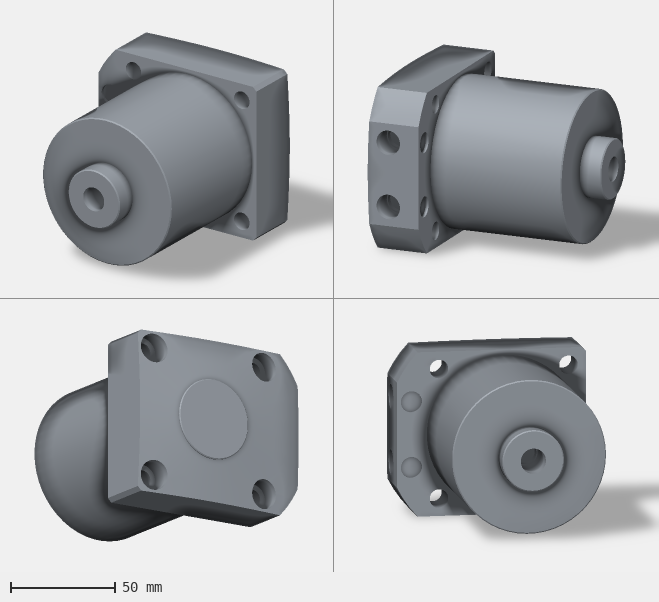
import cadquery as cq
import math

length = 111.0
width = 92.0
height = 80.0
half_height = height / 2
side_reach = width - half_height
corner_radius = 57.9
corner_chamfer = 2.0

nose_diameter = 30.0
nose_length = 11.0
nose_thread_depth = 22.2
nose_hole_depth = 26.6
body_diameter = 74.9
flange_front = 79.1
edge_chamfer = 0.5

disc_radius = 19.8
disc_height = 1.0
disc_chamfer = 0.4
cone_angle = 7.7
envelope_margin = 1.1

thread_diameter = 12.2
drill_diameter = 11.0
bolt_offset = 31.5
bolt_diameter = 9.0
counterbore_diameter = 14.4
counterbore_floor = 96.6
port_offset = 16.0
side_thread_depth = 12.2
side_port_depth = 15.0
side_port_y = 94.9
face_port_x = -45.0
face_port_diameter = 10.2
face_port_depth = 1.5


def cylinder_y(diameter, start, end, x=0, z=0):
    """Cylinder parallel to Y between two Y positions."""
    profile = cq.Workplane("XZ", origin=(0, start, 0)).center(x, z).circle(diameter / 2)
    return profile.extrude(start - end)


def stepped_hole(mouth_depth, total_depth, point, direction):
    """Cutter for a blind threaded hole that continues as a narrower drilled hole."""
    plane = cq.Plane(origin=point, normal=direction)
    mouth = cq.Workplane(plane).circle(thread_diameter / 2).extrude(mouth_depth)
    drilled = cq.Workplane(plane).circle(drill_diameter / 2).extrude(total_depth)
    return mouth.union(drilled)


def make_flange():
    """Square flange with an arc-cornered port side and a conical back."""
    flat_z = math.sqrt(corner_radius**2 - side_reach**2)
    shoulder_x = -math.sqrt(corner_radius**2 - half_height**2)
    middle_angle = (math.atan2(flat_z, -side_reach) + math.atan2(half_height, shoulder_x)) / 2
    middle_x = corner_radius * math.cos(middle_angle)
    middle_z = corner_radius * math.sin(middle_angle)
    chamfer_start = half_height - corner_chamfer
    block = (
        cq.Workplane("XZ", origin=(0, flange_front, 0))
        .moveTo(-side_reach, -flat_z)
        .lineTo(-side_reach, flat_z)
        .threePointArc((middle_x, middle_z), (shoulder_x, half_height))
        .lineTo(chamfer_start, half_height)
        .lineTo(half_height, chamfer_start)
        .lineTo(half_height, -chamfer_start)
        .lineTo(chamfer_start, -half_height)
        .lineTo(shoulder_x, -half_height)
        .threePointArc((middle_x, -middle_z), (-side_reach, -flat_z))
        .close()
        .extrude(flange_front - length)
    )
    envelope_radius = corner_radius + envelope_margin
    cone_top = length - disc_height
    cone_rim = cone_top - (envelope_radius - disc_radius) * math.tan(math.radians(cone_angle))
    envelope = (
        cq.Workplane("XY")
        .moveTo(0, flange_front)
        .lineTo(envelope_radius, flange_front)
        .lineTo(envelope_radius, cone_rim)
        .lineTo(disc_radius, cone_top)
        .lineTo(disc_radius, length - disc_chamfer)
        .lineTo(disc_radius - disc_chamfer, length)
        .lineTo(0, length)
        .close()
        .revolve(360, (0, 0, 0), (0, 1, 0))
    )
    return block.intersect(envelope)


nose = cylinder_y(nose_diameter, 0, nose_length).faces("<Y").chamfer(edge_chamfer)
body = cylinder_y(body_diameter, nose_length, flange_front).faces("<Y").chamfer(edge_chamfer)
result = make_flange().union(body).union(nose)

result = result.cut(stepped_hole(nose_thread_depth, nose_hole_depth, (0, 0, 0), (0, 1, 0)))

for x in (-bolt_offset, bolt_offset):
    for z in (-bolt_offset, bolt_offset):
        result = result.cut(cylinder_y(bolt_diameter, flange_front, length, x, z))
        result = result.cut(cylinder_y(counterbore_diameter, counterbore_floor, length, x, z))

for z in (-port_offset, port_offset):
    side_point = (-side_reach, side_port_y, z)
    result = result.cut(stepped_hole(side_thread_depth, side_port_depth, side_point, (1, 0, 0)))
    recess_floor = flange_front + face_port_depth
    result = result.cut(cylinder_y(face_port_diameter, flange_front, recess_floor, face_port_x, z))